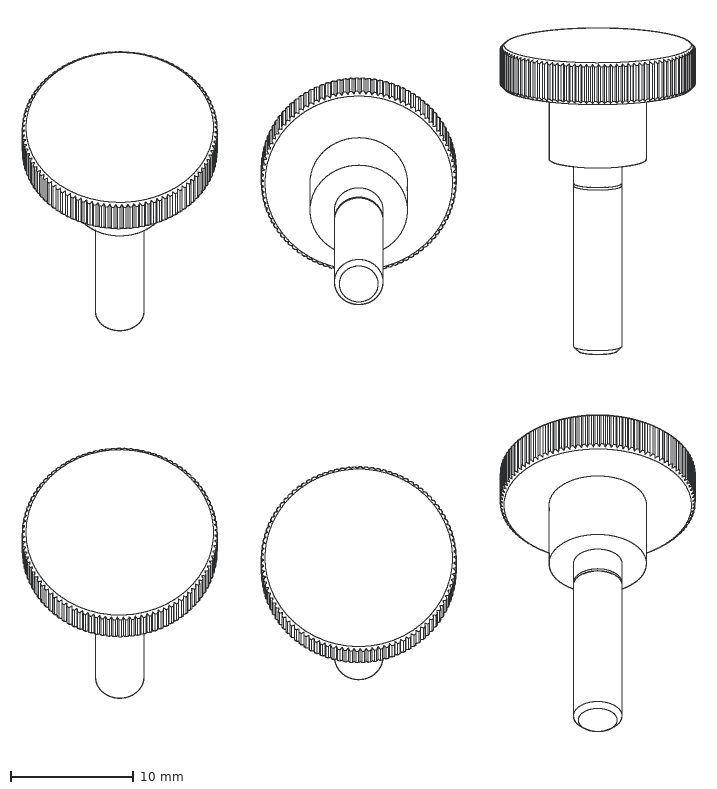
import cadquery as cq
import math

TOTAL_LENGTH = 25.5
HEAD_DIAMETER = 16.0
HEAD_RADIUS = HEAD_DIAMETER / 2
COLLAR_RADIUS = HEAD_RADIUS / 2
SHANK_RADIUS = HEAD_RADIUS / 4

HEAD_THICKNESS = 3.5
COLLAR_LENGTH = 6.0
NECK_LENGTH = 2.01

HEAD_CHAMFER = 0.3
TIP_CHAMFER = 0.4
GROOVE_DEPTH = 0.3
GROOVE_HEIGHT = 0.2

KNURL_COUNT = 100
KNURL_DEPTH = 0.18
LAND_FRACTION = 0.4

HEAD_BOTTOM = TOTAL_LENGTH - HEAD_THICKNESS
COLLAR_BOTTOM = HEAD_BOTTOM - COLLAR_LENGTH
NECK_BOTTOM = COLLAR_BOTTOM - NECK_LENGTH


def revolve_profile(points):
    """Revolve a closed (radius, height) outline about the Z axis."""
    return cq.Workplane("XZ").polyline(points).close().revolve(360, (0, 0), (0, 1))


def polar_point(radius, angle):
    return (radius * math.cos(angle), radius * math.sin(angle))


def make_knurled_head():
    """Disc with V-grooves between narrow lands, chamfered at both rims."""
    pitch = 2 * math.pi / KNURL_COUNT
    half_land = LAND_FRACTION * pitch / 2
    valley_radius = HEAD_RADIUS - KNURL_DEPTH
    outline = cq.Workplane("XY").workplane(offset=HEAD_BOTTOM).moveTo(valley_radius, 0)
    for tooth in range(KNURL_COUNT):
        crest_angle = (tooth + 0.5) * pitch
        outline = outline.lineTo(*polar_point(HEAD_RADIUS, crest_angle - half_land))
        outline = outline.threePointArc(
            polar_point(HEAD_RADIUS, crest_angle),
            polar_point(HEAD_RADIUS, crest_angle + half_land),
        )
        outline = outline.lineTo(*polar_point(valley_radius, crest_angle + pitch / 2))
    teeth = outline.close().extrude(HEAD_THICKNESS)
    blank = revolve_profile([
        (0, HEAD_BOTTOM),
        (HEAD_RADIUS - HEAD_CHAMFER, HEAD_BOTTOM),
        (HEAD_RADIUS, HEAD_BOTTOM + HEAD_CHAMFER),
        (HEAD_RADIUS, TOTAL_LENGTH - HEAD_CHAMFER),
        (HEAD_RADIUS - HEAD_CHAMFER, TOTAL_LENGTH),
        (0, TOTAL_LENGTH),
    ])
    return teeth.intersect(blank)


def make_stem():
    """Collar, neck, groove with a conical lower flank, and shank with a chamfered tip."""
    return revolve_profile([
        (0, 0),
        (SHANK_RADIUS - TIP_CHAMFER, 0),
        (SHANK_RADIUS, TIP_CHAMFER),
        (SHANK_RADIUS, NECK_BOTTOM - GROOVE_HEIGHT),
        (SHANK_RADIUS - GROOVE_DEPTH, NECK_BOTTOM),
        (SHANK_RADIUS, NECK_BOTTOM),
        (SHANK_RADIUS, COLLAR_BOTTOM),
        (COLLAR_RADIUS, COLLAR_BOTTOM),
        (COLLAR_RADIUS, HEAD_BOTTOM),
        (0, HEAD_BOTTOM),
    ])


result = make_knurled_head().union(make_stem())